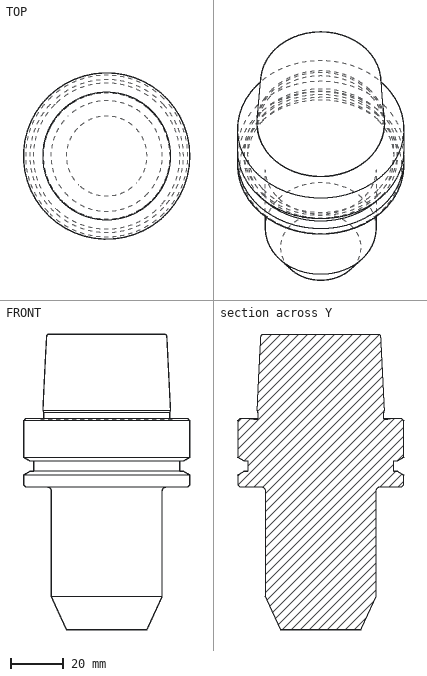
import cadquery as cq
import math


shank_height = 31.9
gauge_radius = 24.03
gauge_height = 6.3
taper_slope = 0.05
shank_top_fillet = 1.0

taper_bottom = 3.0
relief_top = 2.3
relief_radius = 23.9
relief_fillet = 0.6
dish_radius = 26.55
dish_angle = 10.0

flange_radius = 31.5
flange_thickness = 26.0
flange_chamfer = 0.85
chamfer_blend = 0.4

groove_center = -18.05
groove_floor_width = 3.75
groove_floor_radius = 27.7
groove_shoulder_radius = 29.0
groove_flank_angle = 30.0

body_radius = 21.0
body_fillet = 1.5
nose_radius = 15.2
nose_cone_length = 12.6
nose_z = -80.0

SHARP = 0

flange_bottom = -flange_thickness
groove_top = groove_center + groove_floor_width / 2
groove_bottom = groove_center - groove_floor_width / 2
groove_flank_height = (flange_radius - groove_shoulder_radius) * math.tan(math.radians(groove_flank_angle))
dish_depth = (dish_radius - relief_radius) * math.tan(math.radians(dish_angle))


def taper_radius(z):
    return gauge_radius - taper_slope * (z - gauge_height)


def shank_corners():
    """Corners (radius, z, fillet) from the top of the taper down to the locating face."""
    return [
        (taper_radius(shank_height), shank_height, shank_top_fillet),
        (taper_radius(taper_bottom), taper_bottom, SHARP),
        (relief_radius, relief_top, SHARP),
        (relief_radius, -dish_depth, relief_fillet),
        (dish_radius, 0, SHARP),
    ]


def flange_corners():
    """Corners of the flange rim with its gripper groove, top to bottom."""
    chamfered_radius = flange_radius - flange_chamfer
    return [
        (chamfered_radius, 0, chamfer_blend),
        (flange_radius, -flange_chamfer, SHARP),
        (flange_radius, groove_top + groove_flank_height, SHARP),
        (groove_shoulder_radius, groove_top, SHARP),
        (groove_floor_radius, groove_top, SHARP),
        (groove_floor_radius, groove_bottom, SHARP),
        (groove_shoulder_radius, groove_bottom, SHARP),
        (flange_radius, groove_bottom - groove_flank_height, SHARP),
        (flange_radius, flange_bottom + flange_chamfer, chamfer_blend),
        (chamfered_radius, flange_bottom, SHARP),
    ]


def body_corners():
    """Corners of the cylindrical body and its conical nose, top to bottom."""
    return [
        (body_radius, flange_bottom, body_fillet),
        (body_radius, nose_z + nose_cone_length, SHARP),
        (nose_radius, nose_z, SHARP),
    ]


def add_rounded_corner(profile, before, corner, after, radius):
    """Extend the profile around a corner with an arc tangent to both of its sides."""
    corner = cq.Vector(*corner)
    back = (cq.Vector(*before) - corner).normalized()
    ahead = (cq.Vector(*after) - corner).normalized()
    half_angle = back.getAngle(ahead) / 2
    tangent_length = radius / math.tan(half_angle)
    arc_depth = radius / math.sin(half_angle) - radius
    arc_start = corner + back * tangent_length
    arc_middle = corner + (back + ahead).normalized() * arc_depth
    arc_end = corner + ahead * tangent_length
    return (
        profile.lineTo(arc_start.x, arc_start.y)
        .threePointArc((arc_middle.x, arc_middle.y), (arc_end.x, arc_end.y))
    )


def turned_solid(corners, top_z, bottom_z):
    """Revolve the outline through the corners, closed along the axis, about Z."""
    points = [(0, top_z)] + [(r, z) for r, z, _ in corners] + [(0, bottom_z)]
    profile = cq.Workplane("XZ").moveTo(*points[0])
    for index, (r, z, fillet) in enumerate(corners, start=1):
        if fillet == SHARP:
            profile = profile.lineTo(r, z)
        else:
            profile = add_rounded_corner(profile, points[index - 1], (r, z), points[index + 1], fillet)
    profile = profile.lineTo(*points[-1]).close()
    return profile.revolve(360, (0, 0, 0), (0, 1, 0))


result = turned_solid(shank_corners() + flange_corners() + body_corners(), shank_height, nose_z)